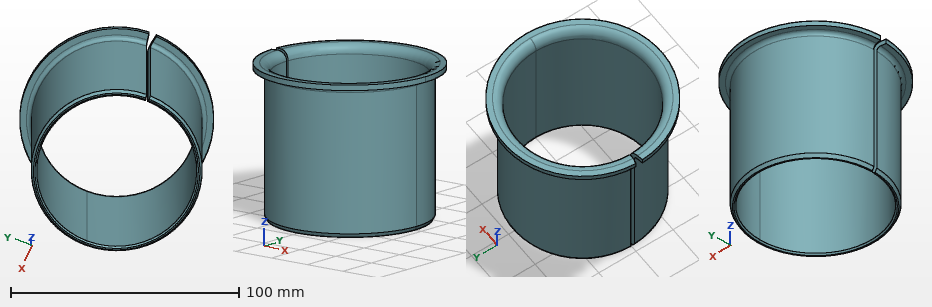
import cadquery as cq

flange_radius = 42.5
height = 70.0
tube_radius = 37.5
wall = 2.5
outer_fillet = 2.0
chamfer_height = 1.9
chamfer_depth = 1.0
bore_chamfer = 0.8
slit_apex_radius = 31.9
slit_rim_width = 3.4

bore_radius = tube_radius - wall
inner_fillet = outer_fillet + wall
bend_bottom = height - inner_fillet


def flanged_sleeve():
    """Revolve the wall section: a tube chamfered at its lower end and bent outward into a flange."""
    bend_center = (tube_radius + outer_fillet, bend_bottom)
    diagonal = 0.5 ** 0.5

    def bend_midpoint(radius):
        return (bend_center[0] - radius * diagonal, bend_center[1] + radius * diagonal)

    section = (
        cq.Workplane("XZ")
        .moveTo(bore_radius, bore_chamfer)
        .lineTo(bore_radius + bore_chamfer, 0)
        .lineTo(tube_radius - chamfer_depth, 0)
        .lineTo(tube_radius, chamfer_height)
        .lineTo(tube_radius, bend_bottom)
        .threePointArc(bend_midpoint(outer_fillet), (bend_center[0], height - wall))
        .lineTo(flange_radius, height - wall)
        .lineTo(flange_radius, height)
        .lineTo(bend_center[0], height)
        .threePointArc(bend_midpoint(inner_fillet), (bore_radius, bend_bottom))
        .close()
    )
    return section.revolve(360, (0, 0, 0), (0, 1, 0))


def tapered_slit():
    """Full-height gap on the -X side, widening from the bore to the flange rim."""
    return (
        cq.Workplane("XY")
        .polyline([
            (-slit_apex_radius, 0),
            (-flange_radius, -slit_rim_width / 2),
            (-flange_radius, slit_rim_width / 2),
        ])
        .close()
        .extrude(height)
    )


result = flanged_sleeve().cut(tapered_slit())